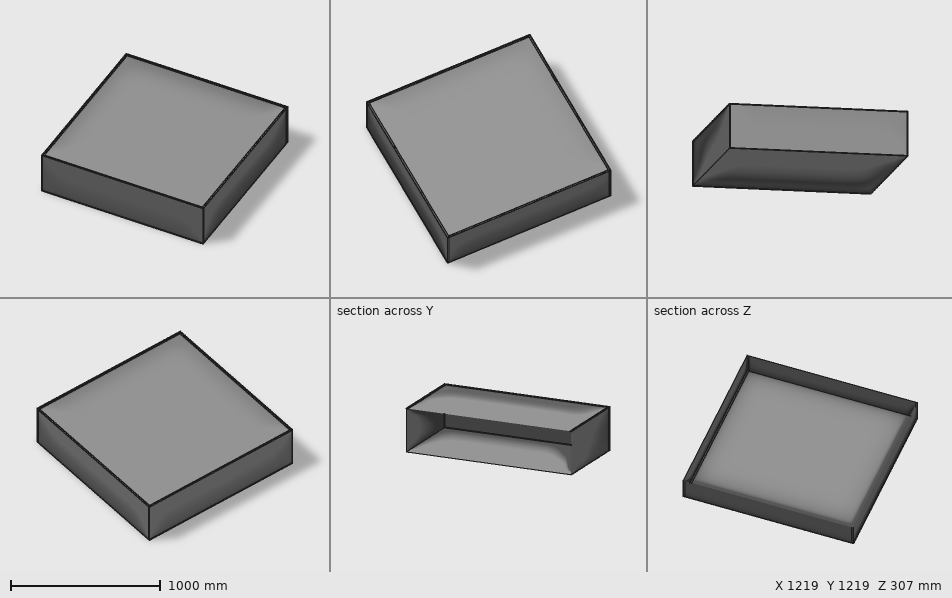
import cadquery as cq

width = 1219.0
depth = 1219.0
height = 307.0

sheet = 2.7
bend_radius = 4.0
flange = 13.0

opening_width = 5.0
opening_inset = 7.0
slot_length = 16.0
slot_count = 4
slot_pitch = 372.0
hole_count = 2
hole_pitch = 405.0

base_z = -height / 2
cover_z = height / 2 - sheet
floor_z = base_z + sheet
outer_x = width / 2
inner_x = outer_x - sheet
outer_y = depth / 2


def block(x_min, x_max, y_min, y_max, z_min, z_max):
    """Rectangular block given by its limits along each axis."""
    corner = cq.Workplane("XY", origin=(x_min, y_min, z_min))
    return corner.box(x_max - x_min, y_max - y_min, z_max - z_min, centered=False)


def centred_row(count, pitch):
    """Positions of evenly spaced items, symmetric about zero."""
    return [(i - (count - 1) / 2) * pitch for i in range(count)]


def fixing_cutters():
    """Slots along the two side walls and round holes along the two ends."""
    slot_x = outer_x - opening_inset
    hole_y = outer_y - opening_inset
    slot_points = [(side * slot_x, y) for side in (-1, 1) for y in centred_row(slot_count, slot_pitch)]
    hole_points = [(x, side * hole_y) for side in (-1, 1) for x in centred_row(hole_count, hole_pitch)]
    plane = cq.Workplane("XY", origin=(0, 0, cover_z - sheet))
    slots = plane.pushPoints(slot_points).slot2D(slot_length, opening_width, 90).extrude(2 * sheet)
    holes = plane.pushPoints(hole_points).circle(opening_width / 2).extrude(2 * sheet)
    return slots.add(holes).combine()


def make_cover():
    """Flat sheet that closes the whole top."""
    plate = block(-outer_x, outer_x, -outer_y, outer_y, cover_z, cover_z + sheet)
    return plate.cut(fixing_cutters())


def make_tray():
    """Bottom and both side walls bent from one sheet, with inward flanges along the top of the walls."""
    flange_x = outer_x - flange
    tray = block(-outer_x, outer_x, -outer_y, outer_y, base_z, cover_z)
    tray = tray.edges("|Y").fillet(bend_radius)
    tray = tray.cut(block(-inner_x, inner_x, -outer_y, outer_y, floor_z, cover_z - sheet))
    tray = tray.cut(block(-flange_x, flange_x, -outer_y, outer_y, cover_z - sheet, cover_z))
    flange_y = outer_y - flange
    for y_min, y_max in ((-outer_y, -flange_y), (flange_y, outer_y)):
        tray = tray.cut(block(-inner_x, inner_x, y_min, y_max, cover_z - sheet, cover_z))
    return tray.cut(fixing_cutters())


def make_end_panel(turn):
    """End sheet between the tray walls with a flange bent back on all four sides, turned about Z into place."""
    open_y = -outer_y + flange
    panel = block(-inner_x, inner_x, -outer_y, open_y, floor_z, cover_z)
    panel = panel.faces("<Y").edges().fillet(bend_radius)
    hollow_x = inner_x - sheet
    hollow_y = -outer_y + sheet
    panel = panel.cut(block(-hollow_x, hollow_x, hollow_y, open_y, floor_z + sheet, cover_z - sheet))
    return panel.rotate((0, 0, 0), (0, 0, 1), turn).cut(fixing_cutters())


cover = make_cover()
tray = make_tray()
end_panels = [make_end_panel(turn) for turn in (0, 180)]

result = cq.Compound.makeCompound([cover.val(), tray.val(), *[panel.val() for panel in end_panels]])